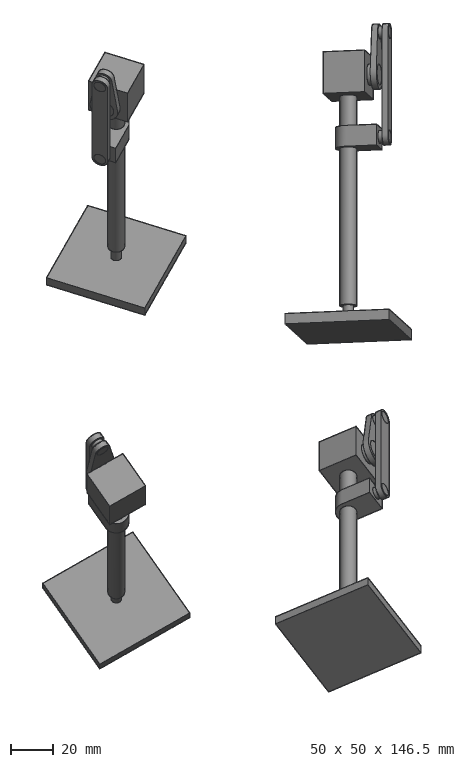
import cadquery as cq
import math

base_side = 50.0
base_thickness = 5.0
post_diameter = 5.1
post_length = 7.5

column_diameter = 8.0
motor_side = 19.9
shaft_diameter = 10.0
shaft_flat_depth = 0.25

arm_width = 8.0
crank_hub_radius = 7.0
crank_throw = 20.0
crank_thickness = 3.0
link_length = 50.0
link_thickness = 3.0
crank_gap = 2.0
link_gap = 2.0
pin_diameter = 6.0

slider_width = 12.0
slider_height = 10.0

overall_height = 146.5
arm_radius = arm_width / 2
crank_pin_z = overall_height - arm_radius
shaft_z = crank_pin_z - crank_throw
slider_pin_z = crank_pin_z - link_length
pin_heights = [crank_pin_z, slider_pin_z]
motor_bottom_z = shaft_z - motor_side / 2
column_bottom_z = base_thickness + post_length

motor_front = motor_side / 2
crank_back = motor_front + crank_gap
crank_front = crank_back + crank_thickness
link_back = crank_front + link_gap
link_front = link_back + link_thickness


def forward_plane(distance, z):
    """Plane facing -Y, with X to the right and Z up."""
    return cq.Workplane("XZ", origin=(0, -distance, z))


def forward_cylinder(diameter, back, front, z):
    return forward_plane(back, z).circle(diameter / 2).extrude(front - back)


def tapered_arm(lower_radius, upper_radius, length, back, front, lower_z):
    """Plate with two round ends joined by straight tangent sides."""
    sine = (lower_radius - upper_radius) / length
    cosine = math.sqrt(1 - sine**2)
    lower_x, lower_y = lower_radius * cosine, lower_radius * sine
    upper_x, upper_y = upper_radius * cosine, length + upper_radius * sine
    return (
        forward_plane(back, lower_z)
        .moveTo(lower_x, lower_y)
        .lineTo(upper_x, upper_y)
        .threePointArc((0, length + upper_radius), (-upper_x, upper_y))
        .lineTo(-lower_x, lower_y)
        .threePointArc((0, -lower_radius), (lower_x, lower_y))
        .close()
        .extrude(front - back)
    )


def make_base():
    plate = cq.Workplane("XY").rect(base_side, base_side).extrude(base_thickness)
    return plate.faces(">Z").workplane().circle(post_diameter / 2).extrude(post_length)


def make_column():
    height = motor_bottom_z - column_bottom_z
    return cq.Workplane("XY", origin=(0, 0, column_bottom_z)).circle(column_diameter / 2).extrude(height)


def make_shaft(back):
    """Motor shaft from a given distance to the crank's front face, with a shallow flat along its top."""
    shaft = forward_cylinder(shaft_diameter, back, crank_front, shaft_z)
    flat_cutter = (
        forward_plane(back, shaft_z)
        .center(0, shaft_diameter / 2)
        .rect(shaft_diameter, 2 * shaft_flat_depth)
        .extrude(crank_front - back)
    )
    return shaft.cut(flat_cutter)


def make_motor():
    """Motor block with a shaft ending flush with the crank's front face."""
    block = cq.Workplane("XY", origin=(0, 0, shaft_z)).box(motor_side, motor_side, motor_side)
    return block.union(make_shaft(motor_front))


def make_pin(z):
    """Pin through the link, reaching back as far as the crank's rear face."""
    return forward_cylinder(pin_diameter, crank_back, link_front, z)


def make_crank():
    arm = tapered_arm(crank_hub_radius, arm_radius, crank_throw, crank_back, crank_front, shaft_z)
    return arm.cut(make_shaft(crank_back)).cut(make_pin(crank_pin_z))


def make_link():
    arm = tapered_arm(arm_radius, arm_radius, link_length, link_back, link_front, slider_pin_z)
    for z in pin_heights:
        arm = arm.cut(make_pin(z))
    return arm


def make_slider():
    """Collar with a round back, bored for the column and the lower pin."""
    half_width = slider_width / 2
    collar = (
        cq.Workplane("XY", origin=(0, 0, slider_pin_z - slider_height / 2))
        .moveTo(-half_width, -crank_front)
        .lineTo(half_width, -crank_front)
        .lineTo(half_width, 0)
        .threePointArc((0, half_width), (-half_width, 0))
        .close()
        .extrude(slider_height)
    )
    return collar.cut(make_column()).cut(make_pin(slider_pin_z))


base = make_base()
column = make_column()
motor = make_motor()
crank = make_crank()
link = make_link()
slider = make_slider()
pins = [make_pin(z) for z in pin_heights]

result = cq.Compound.makeCompound(
    [body.val() for body in [base, column, motor, crank, link, slider, *pins]]
)